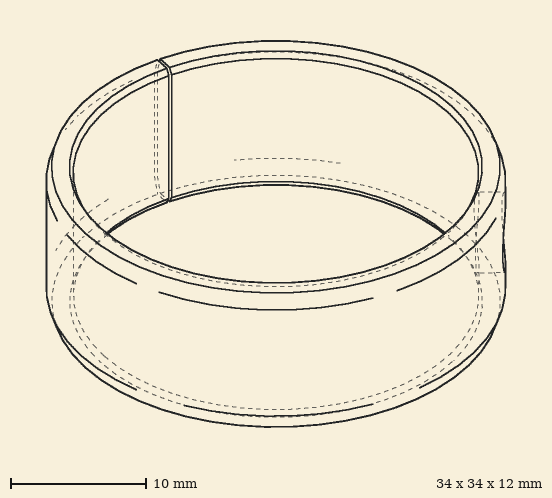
import cadquery as cq
import math

outer_diameter = 34.0
inner_diameter = 30.0
height = 12.0

outer_bevel_radial = 0.4
outer_bevel_axial = 1.25
inner_bevel_radial = 0.27
inner_bevel_axial = 0.5

slit_width = 0.25

hole_diameter = 6.0
hole_angle = 59.0

outer_radius = outer_diameter / 2
inner_radius = inner_diameter / 2
half_height = height / 2


def ring_body():
    """Revolve the wall section, bevelled at all four edges."""
    section = [
        (inner_radius, half_height - inner_bevel_axial),
        (inner_radius + inner_bevel_radial, half_height),
        (outer_radius - outer_bevel_radial, half_height),
        (outer_radius, half_height - outer_bevel_axial),
    ]
    mirrored = [(r, -z) for r, z in reversed(section)]
    return cq.Workplane("XZ").polyline(section + mirrored).close().revolve(360, (0, 0), (0, 1))


def slit_cutter():
    """Thin slab crossing only the -X side of the wall."""
    slab = cq.Workplane("XY").box(outer_radius, slit_width, height, centered=(False, False, True))
    return slab.translate((-outer_radius, 0, 0))


def hole_cutter():
    """Cylinder running outward from the ring axis through one side of the wall."""
    angle = math.radians(hole_angle)
    direction = cq.Vector(math.cos(angle), math.sin(angle), 0)
    return cq.Solid.makeCylinder(hole_diameter / 2, outer_radius, cq.Vector(0, 0, 0), direction)


result = ring_body().cut(slit_cutter()).cut(hole_cutter())